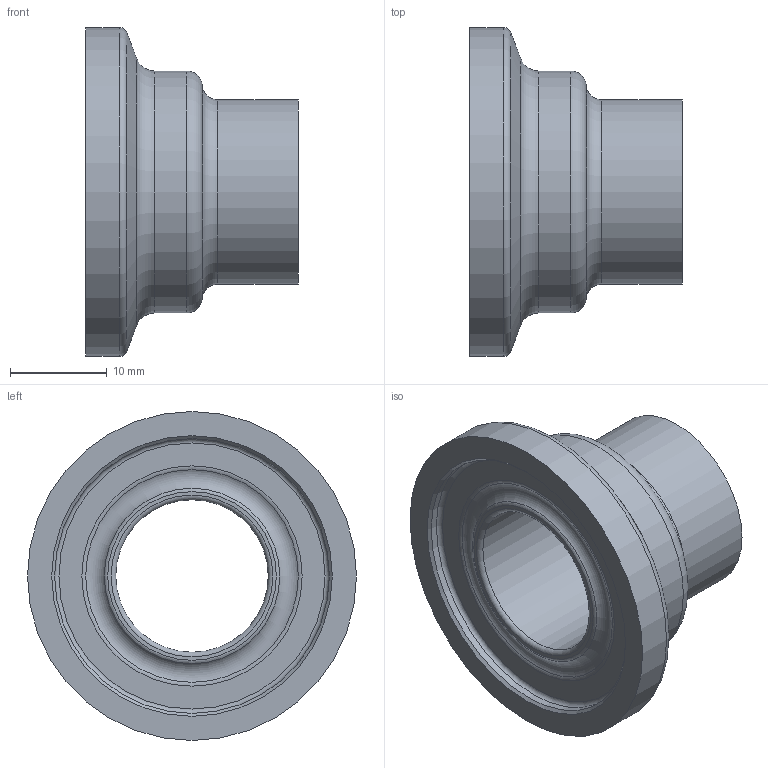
import cadquery as cq
import math

QUARTER_TURN = math.pi / 2

total_length = 22.0
rim_length = 3.5
collar_start = 7.15
tube_start = 13.65

rim_radius = 34.0 / 2
collar_radius = 25.0 / 2
tube_radius = 19.05 / 2
bore_radius = 15.75 / 2

back_angle = math.radians(20.0)
rim_fillet = 0.8
collar_fillet = 2.0
step_radius = 1.6

recess_radius = 28.4 / 2
recess_depth = 1.5
mouth_chamfer = 0.3
recess_corner_fillet = 0.45

groove_radius = 1.5
groove_center_x = 0.3
groove_center_radius = 10.25
lip_x = 1.05
lip_outer_fillet = 0.45
bore_fillet = 0.475
floor_fillet = 0.8


def on_circle(center, radius, angle):
    """Point on a circle, with the angle measured from +X towards larger radius."""
    return (center[0] + radius * math.cos(angle), center[1] + radius * math.sin(angle))


def add_arc(profile, center, radius, start, end):
    """Extend the profile, already at the start angle, along an arc to the end angle."""
    middle = on_circle(center, radius, (start + end) / 2)
    return profile.threePointArc(middle, on_circle(center, radius, end))


def groove_blend_center(plane_x, fillet, side):
    """Centre of a fillet joining a flat ring to the groove; side is +1 outward, -1 inward."""
    x = plane_x + fillet
    reach = math.sqrt((groove_radius + fillet) ** 2 - (x - groove_center_x) ** 2)
    return (x, groove_center_radius + side * reach)


def add_outside(profile):
    """Rim, conical back, collar, S-shaped step and tube, from front to rear."""
    rim_center = (rim_length, rim_radius - rim_fillet)
    collar_center = (collar_start, collar_radius + collar_fillet)
    cone_end = on_circle(collar_center, collar_fillet, math.pi + back_angle)

    step_height = collar_radius - tube_radius
    step_turn = math.acos(1 - step_height / (2 * step_radius))
    step_start = tube_start - 2 * step_radius * math.sin(step_turn)
    shoulder_center = (step_start, collar_radius - step_radius)
    foot_center = (tube_start, tube_radius + step_radius)

    profile = profile.lineTo(rim_length, rim_radius)
    profile = add_arc(profile, rim_center, rim_fillet, QUARTER_TURN, back_angle)
    profile = profile.lineTo(*cone_end)
    profile = add_arc(profile, collar_center, collar_fillet, math.pi + back_angle, 3 * QUARTER_TURN)
    profile = profile.lineTo(step_start, collar_radius)
    profile = add_arc(profile, shoulder_center, step_radius, QUARTER_TURN, QUARTER_TURN - step_turn)
    profile = add_arc(profile, foot_center, step_radius, 3 * QUARTER_TURN - step_turn, 3 * QUARTER_TURN)
    return profile.lineTo(total_length, tube_radius)


def add_inside(profile):
    """Bore, lip, groove and recess, from rear to front."""
    groove_center = (groove_center_x, groove_center_radius)
    bore_blend = (lip_x + bore_fillet, bore_radius + bore_fillet)
    lip_blend = groove_blend_center(lip_x, lip_outer_fillet, -1)
    floor_blend = groove_blend_center(recess_depth, floor_fillet, 1)
    lip_angle = math.atan2(lip_blend[1] - groove_center[1], lip_blend[0] - groove_center[0])
    floor_angle = math.atan2(floor_blend[1] - groove_center[1], floor_blend[0] - groove_center[0])
    corner = (recess_depth - recess_corner_fillet, recess_radius - recess_corner_fillet)

    profile = profile.lineTo(total_length, bore_radius)
    profile = profile.lineTo(bore_blend[0], bore_radius)
    profile = add_arc(profile, bore_blend, bore_fillet, 3 * QUARTER_TURN, math.pi)
    profile = profile.lineTo(lip_x, lip_blend[1])
    profile = add_arc(profile, lip_blend, lip_outer_fillet, math.pi, math.pi + lip_angle)
    profile = add_arc(profile, groove_center, groove_radius, lip_angle, floor_angle)
    profile = add_arc(profile, floor_blend, floor_fillet, math.pi + floor_angle, math.pi)
    profile = profile.lineTo(recess_depth, corner[1])
    profile = add_arc(profile, corner, recess_corner_fillet, 0, QUARTER_TURN)
    profile = profile.lineTo(mouth_chamfer, recess_radius)
    return profile.lineTo(0, recess_radius + mouth_chamfer)


section = cq.Workplane("XY").moveTo(0, rim_radius)
section = add_outside(section)
section = add_inside(section)
result = section.close().revolve(360, (0, 0, 0), (1, 0, 0))